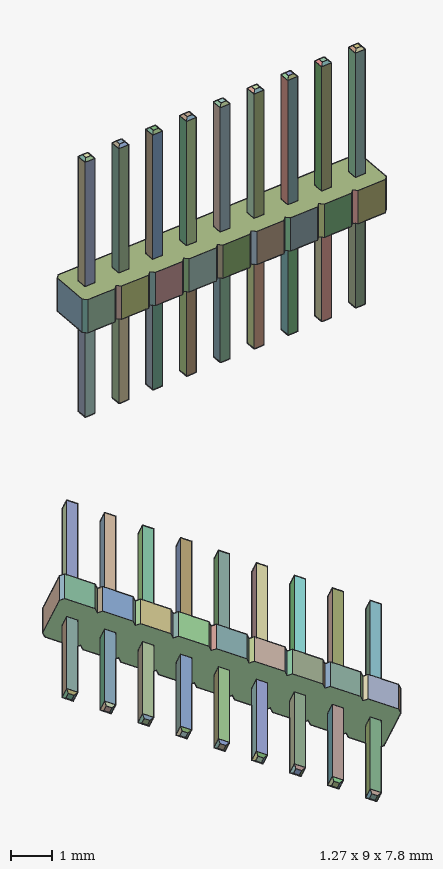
import cadquery as cq


pin_count = 9
strip_length = 9.0
strip_width = 1.27
corner_chamfer = 0.1
pin_width = 0.3
tip_chamfer = 0.07
pin_length = 7.8
pin_below_strip = 3.0

pitch = strip_length / pin_count
strip_height = pitch
first_pin_y = (pitch - strip_length) / 2
pin_positions = [first_pin_y + i * pitch for i in range(pin_count)]


def make_segment(y):
    """One insulator block; neighbouring bevels meet as V-notches."""
    return (
        cq.Workplane("XY")
        .center(0, y)
        .rect(strip_width, pitch)
        .extrude(strip_height)
        .edges("|Z")
        .chamfer(corner_chamfer)
    )


def make_pin(y):
    """One square pin running through its segment, bevelled at both ends."""
    return (
        cq.Workplane("XY", origin=(0, y, -pin_below_strip))
        .rect(pin_width, pin_width)
        .extrude(pin_length)
        .faces("<Z or >Z")
        .chamfer(tip_chamfer)
    )


result = make_segment(pin_positions[0])
for y in pin_positions[1:]:
    result = result.union(make_segment(y))
for y in pin_positions:
    result = result.union(make_pin(y))
result = result.clean()